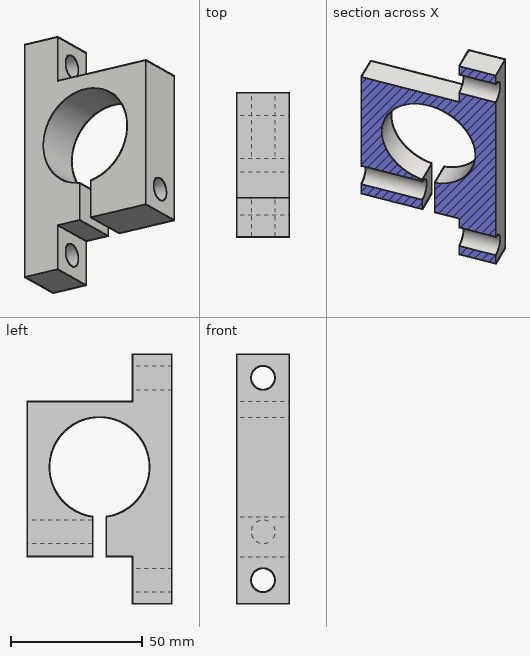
import cadquery as cq

width = 20.0
depth = 55.0
flange_length = 95.0
flange_thickness = 15.0
body_height = 59.0
shaft_diameter = 38.0
shaft_height = 4.5
slit_width = 5.0
mount_hole_diameter = 9.0
mount_hole_spacing = 77.0
clamp_hole_diameter = 9.0
clamp_hole_rise = 9.5

shaft_y = depth / 2
body_bottom = -body_height / 2
clamp_hole_z = body_bottom + clamp_hole_rise


def make_block():
    flange = cq.Workplane("XY").box(
        width, flange_thickness, flange_length, centered=(True, False, True)
    )
    body = cq.Workplane("XY").box(width, depth, body_height, centered=(True, False, True))
    return flange.union(body)


def make_bore_and_slit():
    """Shaft bore along X, opened downwards by a slit."""
    bore = (
        cq.Workplane("YZ")
        .center(shaft_y, shaft_height)
        .circle(shaft_diameter / 2)
        .extrude(width / 2, both=True)
    )
    slit_height = shaft_height - body_bottom
    slit = cq.Workplane("XY", origin=(0, shaft_y, body_bottom)).box(
        width, slit_width, slit_height, centered=(True, True, False)
    )
    return bore.union(slit)


def hole_along_y(z, diameter, start, end):
    """Cylinder on the middle plane, running from Y = start to Y = end."""
    axis_start = cq.Vector(0, start, z)
    return cq.Workplane(
        cq.Solid.makeCylinder(diameter / 2, end - start, axis_start, cq.Vector(0, 1, 0))
    )


result = make_block().cut(make_bore_and_slit())
for side in (-1, 1):
    mount_z = side * mount_hole_spacing / 2
    result = result.cut(hole_along_y(mount_z, mount_hole_diameter, 0, flange_thickness))
result = result.cut(hole_along_y(clamp_hole_z, clamp_hole_diameter, shaft_y, depth))